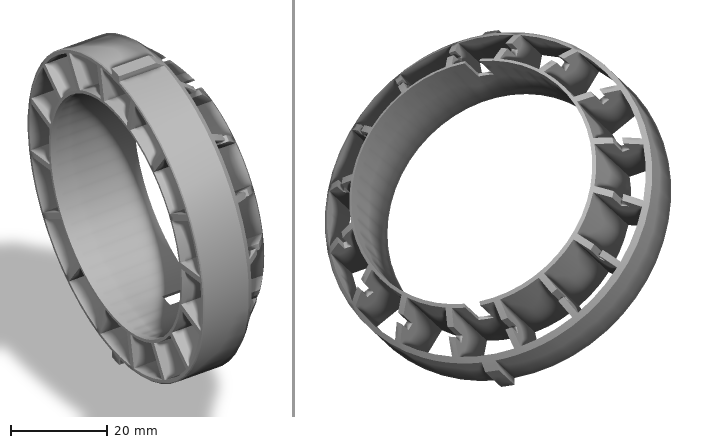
import cadquery as cq
import math

outer_radius = 36.71
band_wall = 1.0
sleeve_inner_radius = 54.0 / 2
sleeve_wall = 0.7
front_chamfer = 0.2

band_inner_radius = outer_radius - band_wall
sleeve_outer_radius = sleeve_inner_radius + sleeve_wall

length = 20.1
dome_radius = 46.5
dome_center_y = length - math.sqrt(dome_radius**2 - sleeve_inner_radius**2)

spoke_count = 16
spoke_width = 1.45
spoke_pitch = 360 / spoke_count

gap_inner_radius = 30.95
gap_width = 1.6
gap_floor_y = 12.0

key_tip_radius = 38.1
key_width = 3.05
notch_width = 3.35
notch_floor_y = 12.2


def tube(outer, inner, start_y, end_y):
    """Tube around the Y axis between two Y positions."""
    plane = cq.Workplane("XZ", origin=(0, end_y, 0))
    return plane.circle(outer).circle(inner).extrude(end_y - start_y)


def box_along_z(width, start_y, end_y, start_z, end_z):
    """Box centred on X = 0 between the given Y and Z limits."""
    box = cq.Workplane("XY").box(width, end_y - start_y, end_z - start_z)
    return box.translate((0, (start_y + end_y) / 2, (start_z + end_z) / 2))


def rotate_about_y(body, angle):
    return body.rotate((0, 0, 0), (0, 1, 0), angle)


band = tube(outer_radius, band_inner_radius, 0, length)
outermost_edge = cq.selectors.RadiusNthSelector(-1)
band = band.faces("<Y").edges(outermost_edge).chamfer(front_chamfer)

sleeve = tube(sleeve_outer_radius, sleeve_inner_radius, 0, length)

spoke_start = sleeve_inner_radius + sleeve_wall / 2
spoke_end = band_inner_radius + band_wall / 2
spoke = box_along_z(spoke_width, 0, length, spoke_start, spoke_end)
gap = tube(gap_inner_radius + gap_width, gap_inner_radius, gap_floor_y, length)
spoke = spoke.cut(gap)

body = band.union(sleeve)
for index in range(spoke_count):
    body = body.union(rotate_about_y(spoke, (index + 0.5) * spoke_pitch))

key = box_along_z(key_width, 0, length, spoke_end, key_tip_radius)
notch = box_along_z(notch_width, notch_floor_y, length, 0, spoke_start + sleeve_wall)
for angle in (0, 180):
    body = body.union(rotate_about_y(key, angle))
    body = body.cut(rotate_about_y(notch, angle))

dome = cq.Workplane("XY").sphere(dome_radius).translate((0, dome_center_y, 0))
result = body.intersect(dome)